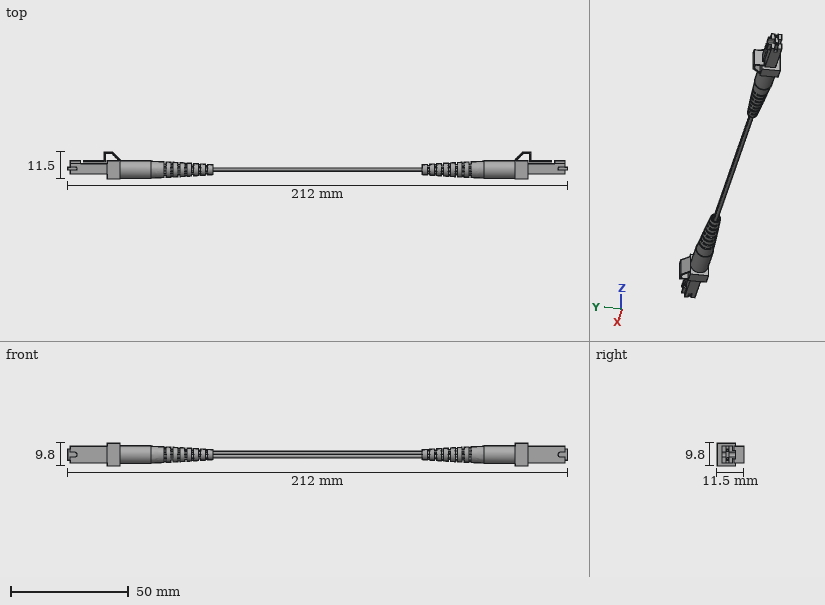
import cadquery as cq
import math


overall_length = 212.0
ferrule_tip_x = -overall_length / 2
nose_tip_x = -105.0
tip_block_end_x = -100.5
latch_arm_tip_x = -99.3
flange_front_x = -89.3
flange_back_x = -83.8
boot_start_x = -70.6
boot_middle_x = -57.5
boot_end_x = -44.3

flange_top_y = 3.8
flange_bottom_y = -4.0
flange_width = 9.8
barrel_radius = 3.8
nose_top_y = 2.5
nose_bottom_y = -2.0
nose_width = 7.2
tip_block_width = 3.5

latch_width = 7.2
latch_arm_width = tip_block_width
latch_front_x = -90.5
latch_thickness = 0.6
latch_top_y = 7.5
latch_roof_end_x = -87.0

ferrule_length = 8.5
ferrule_thickness = 1.3
ferrule_width = 4.9
ferrule_y = 0.5
guide_hole_diameter = 0.8
guide_hole_spacing = 3.4
side_slot_width = 2.1
end_slot_depth = 3.0

boot_radius = 3.5
boot_middle_radius = 3.0
boot_end_radius = 2.1
boot_bore_radius = 1.7
groove_count = 7
groove_width = 0.8
first_groove_x = -64.7
last_groove_x = -47.0
groove_pitch = (last_groove_x - first_groove_x) / (groove_count - 1)
bridge_width = 1.0
first_bridge_angle = 37.0

strand_diameter = 1.53
strand_spacing = 1.45


def block(x_range, y_range, width):
    """Box between two X and two Y values, centred on Z = 0."""
    length = x_range[1] - x_range[0]
    height = y_range[1] - y_range[0]
    centre = ((x_range[0] + x_range[1]) / 2, (y_range[0] + y_range[1]) / 2, 0)
    return cq.Workplane("XY").box(length, height, width).translate(centre)


def rod(x_start, x_end, radius):
    """Cylinder along X on the cable axis."""
    return cq.Workplane("YZ", origin=(x_start, 0, 0)).circle(radius).extrude(x_end - x_start)


def ferrule_envelope():
    """Outer shape of the ferrule, also the recess that holds it."""
    y_range = (ferrule_y - ferrule_thickness / 2, ferrule_y + ferrule_thickness / 2)
    return block((ferrule_tip_x, ferrule_tip_x + ferrule_length), y_range, ferrule_width)


def make_ferrule():
    """Flat bar with two guide holes along its length."""
    hole_places = [(ferrule_y, side * guide_hole_spacing / 2) for side in (-1, 1)]
    holes = cq.Workplane("YZ", origin=(ferrule_tip_x, 0, 0)).pushPoints(hole_places)
    return ferrule_envelope().cut(holes.circle(guide_hole_diameter / 2).extrude(ferrule_length))


def make_latch():
    """Narrow free arm over the nose, then a wide strip that rises and ramps down to the flange."""
    underside_y = flange_top_y - latch_thickness
    inner_x = latch_front_x + latch_thickness
    inner_top_y = latch_top_y - latch_thickness
    ramp_end_x = latch_roof_end_x + latch_top_y - flange_top_y
    ramp_width_x = latch_thickness * math.sqrt(2)
    strip = (
        cq.Workplane("XY")
        .moveTo(latch_front_x, underside_y)
        .lineTo(latch_front_x, latch_top_y)
        .lineTo(latch_roof_end_x, latch_top_y)
        .lineTo(ramp_end_x, flange_top_y)
        .lineTo(ramp_end_x - ramp_width_x, flange_top_y)
        .lineTo(latch_roof_end_x + latch_thickness - ramp_width_x, inner_top_y)
        .lineTo(inner_x, inner_top_y)
        .lineTo(inner_x, underside_y)
        .close()
        .extrude(latch_width / 2, both=True)
    )
    arm = block((latch_arm_tip_x, inner_x), (underside_y, flange_top_y), latch_arm_width)
    return strip.union(arm)


def end_slot(plane, origin, width):
    """Slot in the nose tip with a rounded inner end, cut right through along the plane's normal."""
    slot = cq.Workplane(plane, origin=origin).slot2D(2 * end_slot_depth, width)
    return slot.extrude(flange_width, both=True)


def make_housing():
    """Slotted nose, flange, barrel and latch in one piece."""
    nose = block((nose_tip_x, flange_front_x), (nose_bottom_y, nose_top_y), nose_width)
    tip_block = block((nose_tip_x, tip_block_end_x), (nose_top_y, flange_top_y), tip_block_width)
    flange = block((flange_front_x, flange_back_x), (flange_bottom_y, flange_top_y), flange_width)
    barrel = rod(flange_back_x, boot_start_x, barrel_radius)
    housing = nose.union(tip_block).union(flange).union(barrel).union(make_latch())
    slot_origin = (nose_tip_x, ferrule_y, 0)
    side_slot = end_slot("XZ", slot_origin, side_slot_width)
    top_slot = end_slot("XY", slot_origin, ferrule_thickness)
    return housing.cut(side_slot).cut(top_slot).cut(ferrule_envelope())


def make_groove(number):
    """Ring groove down to the bore, interrupted by two opposite bridges."""
    x = first_groove_x + number * groove_pitch
    cutter_radius = 2 * boot_radius
    ring = rod(x - groove_width / 2, x + groove_width / 2, cutter_radius)
    bridges = cq.Workplane("XY").box(groove_width, bridge_width, 2 * cutter_radius)
    angle = first_bridge_angle + 90 * (number % 2)
    return ring.cut(bridges.translate((x, 0, 0)).rotate((0, 0, 0), (1, 0, 0), angle))


def make_boot():
    """Bored sleeve with a bulged taper, cut by ring grooves so that it can bend."""
    boot = (
        cq.Workplane("XY")
        .moveTo(boot_start_x, boot_bore_radius)
        .lineTo(boot_start_x, boot_radius)
        .threePointArc((boot_middle_x, boot_middle_radius), (boot_end_x, boot_end_radius))
        .lineTo(boot_end_x, boot_bore_radius)
        .close()
        .revolve(360, (0, 0, 0), (1, 0, 0))
    )
    for number in range(groove_count):
        boot = boot.cut(make_groove(number))
    return boot


def make_cable():
    """Two round strands side by side along Z, fused where they press together."""
    half_length = -boot_start_x
    strand = rod(-half_length, half_length, strand_diameter / 2)
    offset = strand_spacing / 2
    return strand.translate((0, 0, offset)).union(strand.translate((0, 0, -offset)))


def at_both_ends(body):
    """The body at the -X end and its copy turned half a turn about Y for the +X end."""
    return [body.val(), body.rotate((0, 0, 0), (0, 1, 0), 180).val()]


housings = at_both_ends(make_housing())
ferrules = at_both_ends(make_ferrule())
boots = at_both_ends(make_boot())
cable = make_cable()

result = cq.Compound.makeCompound([*housings, *ferrules, *boots, cable.val()])